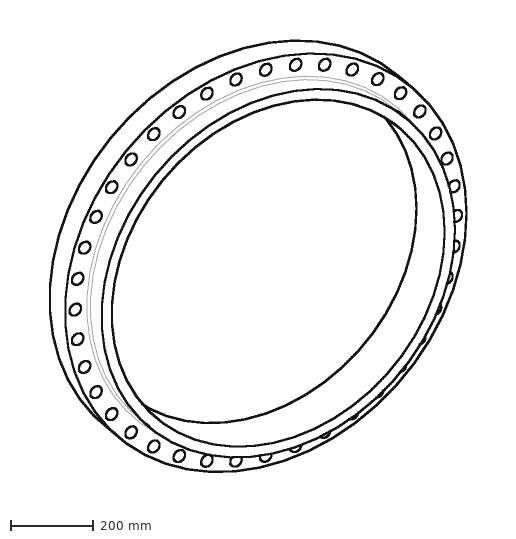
import cadquery as cq

overall_length = 144.46
outer_diameter = 1111.25
bore_diameter = 920.75

raised_face_diameter = 1022.0
raised_face_height = 1.5875
raised_face_root_radius = 0.8

flange_thickness = 79.375
flange_back = raised_face_height + flange_thickness

hub_diameter = 977.9
hub_root_radius = 6.35

bolt_hole_count = 40
bolt_hole_diameter = 31.75
bolt_circle_diameter = 1054.1


def ring_body():
    """Ring cross-section in the XY plane, revolved once about X."""
    bore_radius = bore_diameter / 2
    face_radius = raised_face_diameter / 2
    outer_radius = outer_diameter / 2
    hub_radius = hub_diameter / 2
    cross_section = (
        cq.Workplane("XY")
        .moveTo(0, bore_radius)
        .lineTo(0, face_radius)
        .lineTo(raised_face_height - raised_face_root_radius, face_radius)
        .radiusArc((raised_face_height, face_radius + raised_face_root_radius), -raised_face_root_radius)
        .lineTo(raised_face_height, outer_radius)
        .lineTo(flange_back, outer_radius)
        .lineTo(flange_back, hub_radius + hub_root_radius)
        .radiusArc((flange_back + hub_root_radius, hub_radius), -hub_root_radius)
        .lineTo(overall_length, hub_radius)
        .lineTo(overall_length, bore_radius)
        .close()
    )
    return cross_section.revolve(360, (0, 0, 0), (1, 0, 0))


def bolt_holes():
    """Cylinders spaced evenly on the bolt circle, through the flange."""
    return (
        cq.Workplane("YZ")
        .polarArray(bolt_circle_diameter / 2, 0, 360, bolt_hole_count)
        .circle(bolt_hole_diameter / 2)
        .extrude(flange_back)
    )


result = ring_body().cut(bolt_holes())